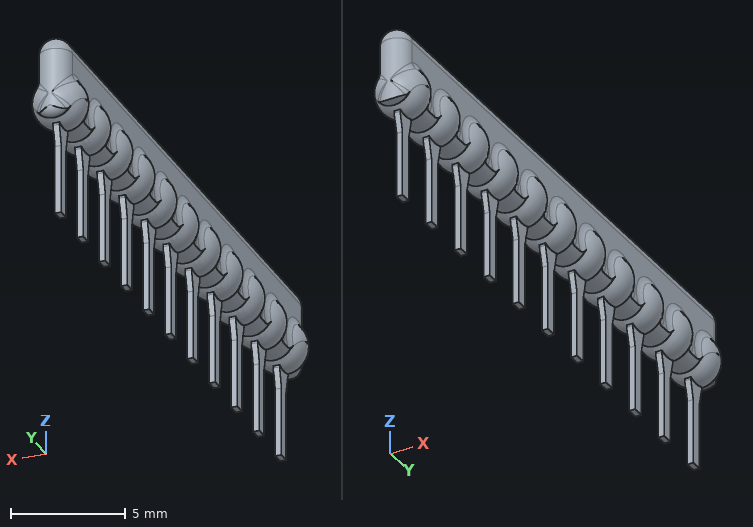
import cadquery as cq

length = 27.9
height = 8.37

thickness = 1.5
half_thickness = thickness / 2
round_top_z = height - half_thickness
body_bottom = 4.45
side_bottom = 4.82
end_corner_radius = 0.42

bead_radius = 1.24
bead_z = 5.47
bead_blend = 0.5
end_inset = 0.003

pin_count = 11
pitch = (length - 2 * (bead_radius + end_inset)) / (pin_count - 1)
pin_width = 0.55
pin_thickness = 0.3
pin_root_width = 0.98
pin_straight_top = 3.3
pin_taper_top = 4.25

pin_places = [(i - (pin_count - 1) / 2) * pitch for i in range(pin_count)]

underside_rise = side_bottom - body_bottom
underside_radius = (half_thickness**2 + underside_rise**2) / (2 * underside_rise)
underside_centre = body_bottom + underside_radius


def make_bar(bottom):
    """Upright bar with round ends, from the given level up to the axis of its round top."""
    plan = cq.Workplane("XY", origin=(0, 0, bottom)).slot2D(length, thickness, 90)
    return plan.extrude(round_top_z - bottom)


def round_top(bar):
    """Capsule along the top of the bar."""
    axis_end = length / 2 - half_thickness
    capsule = (
        cq.Workplane("YZ", origin=(0, 0, round_top_z))
        .moveTo(-axis_end - half_thickness, 0)
        .radiusArc((-axis_end, half_thickness), half_thickness)
        .lineTo(axis_end, half_thickness)
        .radiusArc((axis_end + half_thickness, 0), half_thickness)
        .close()
        .revolve(360, (0, 0, 0), (1, 0, 0))
    )
    return bar.union(capsule)


def add_beads(body):
    """Join a ball at every pin, with its poles turned to the flat sides of the bar."""
    ball = cq.Workplane("XY").sphere(bead_radius).rotate((0, 0, 0), (0, 1, 0), 90)
    for y in pin_places:
        body = body.union(ball.translate((0, y, bead_z)))
    return body


def blend_beads(body):
    """Concave blend along every line where a bead leaves the bar."""
    bead_edges = body.faces("%SPHERE").edges().vals()
    bar_edges = body.faces("not %SPHERE").edges().vals()
    seams = [edge for edge in bead_edges if any(edge.isSame(other) for other in bar_edges)]
    return body.newObject(seams).fillet(bead_blend)


def make_envelope():
    """Space above the rounded underside, flaring outward from the sides and rounded off at +Y."""
    flare_x = bead_radius
    flare_slope = half_thickness / (underside_centre - side_bottom)
    flare_z = side_bottom + flare_slope * (flare_x - half_thickness)
    envelope = (
        cq.Workplane("XZ", origin=(0, length / 2, 0))
        .moveTo(-flare_x, height)
        .lineTo(-flare_x, flare_z)
        .lineTo(-half_thickness, side_bottom)
        .threePointArc((0, body_bottom), (half_thickness, side_bottom))
        .lineTo(flare_x, flare_z)
        .lineTo(flare_x, height)
        .close()
        .extrude(length)
    )
    lower_end_edges = envelope.faces(">Y").edges("not >Z").edges("not |Z")
    return lower_end_edges.fillet(end_corner_radius)


def make_pin(y):
    """Flat pin that widens toward its root inside the bead."""
    half_width = pin_width / 2
    half_root = pin_root_width / 2
    return (
        cq.Workplane("YZ", origin=(-pin_thickness / 2, y, 0))
        .moveTo(-half_width, 0)
        .lineTo(-half_width, pin_straight_top)
        .lineTo(-half_root, pin_taper_top)
        .lineTo(-half_root, bead_z)
        .lineTo(half_root, bead_z)
        .lineTo(half_root, pin_taper_top)
        .lineTo(half_width, pin_straight_top)
        .lineTo(half_width, 0)
        .close()
        .extrude(pin_thickness)
    )


body = blend_beads(add_beads(make_bar(pin_straight_top)))
body = round_top(body).intersect(make_envelope())
body = add_beads(body)
for y in pin_places:
    body = body.union(make_pin(y))

result = body